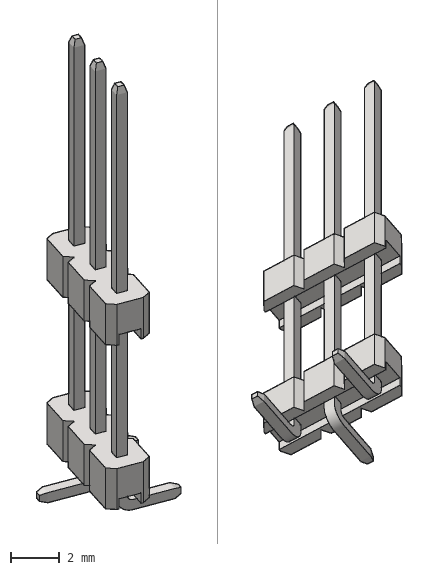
import cadquery as cq
import math


total_height = 20.75
row_length = 6.0
foot_span = 5.5
pin_count = 3
pin_width = 0.5
tip_width = 0.3
tip_length = 0.33
bend_inner_radius = 0.25
housing_spacing = 8.0
corner_cut_x = 0.25
corner_cut_y = 0.4
slot_width = 1.0
slot_depth = 0.5

pitch = row_length / pin_count
housing_size = pitch
bend_outer_radius = bend_inner_radius + pin_width
lower_housing_z = bend_outer_radius
housing_levels = [lower_housing_z, lower_housing_z + housing_spacing]
foot_reach = foot_span / 2
tip_taper = math.degrees(math.atan((pin_width - tip_width) / 2 / tip_length))


def pin_x(index):
    """X position of a pin, counted from the -X end of the row."""
    return (index - (pin_count - 1) / 2) * pitch


def housing(base_z):
    """Row of joined cells with cut corners and a channel along the underside."""
    half = housing_size / 2
    flat_x = half - corner_cut_x
    flat_y = half - corner_cut_y
    cell_outline = [
        (-flat_x, -half), (flat_x, -half), (half, -flat_y), (half, flat_y),
        (flat_x, half), (-flat_x, half), (-half, flat_y), (-half, -flat_y),
    ]
    body = cq.Workplane("XY")
    for index in range(pin_count):
        cell = cq.Workplane("XY").polyline(cell_outline).close().extrude(housing_size)
        body = body.union(cell.translate((pin_x(index), 0, 0)))
    slot = cq.Workplane("XY").box(row_length, slot_width, slot_depth, centered=(True, True, False))
    return body.cut(slot).translate((0, 0, base_z))


def tip(plane, center):
    """Pointed square end growing from the given centre along the plane's normal."""
    return (
        cq.Workplane(plane, origin=center)
        .rect(pin_width, pin_width)
        .extrude(tip_length, taper=tip_taper)
    )


def pin():
    """Square pin on X = 0, bent at the bottom into a foot that points to +Y."""
    half = pin_width / 2
    bend_y = half + bend_inner_radius
    bend_z = bend_outer_radius
    shank_top = total_height - tip_length
    foot_end = foot_reach - tip_length
    diagonal = math.sqrt(0.5)
    inner_mid = (bend_y - bend_inner_radius * diagonal, bend_z - bend_inner_radius * diagonal)
    outer_mid = (bend_y - bend_outer_radius * diagonal, bend_z - bend_outer_radius * diagonal)
    bent_bar = (
        cq.Workplane("YZ")
        .moveTo(-half, shank_top)
        .lineTo(half, shank_top)
        .lineTo(half, bend_z)
        .threePointArc(inner_mid, (bend_y, pin_width))
        .lineTo(foot_end, pin_width)
        .lineTo(foot_end, 0)
        .lineTo(bend_y, 0)
        .threePointArc(outer_mid, (-half, bend_z))
        .close()
        .extrude(half, both=True)
    )
    top_tip = tip("XY", (0, 0, shank_top))
    foot_tip = tip("ZX", (0, foot_end, half))
    return bent_bar.union(top_tip).union(foot_tip)


result = cq.Workplane("XY")
for level in housing_levels:
    result = result.union(housing(level))

for number in range(pin_count):
    turn = 180 * (number % 2)
    placed_pin = pin().rotate((0, 0, 0), (0, 0, 1), turn).translate((pin_x(number), 0, 0))
    result = result.union(placed_pin)